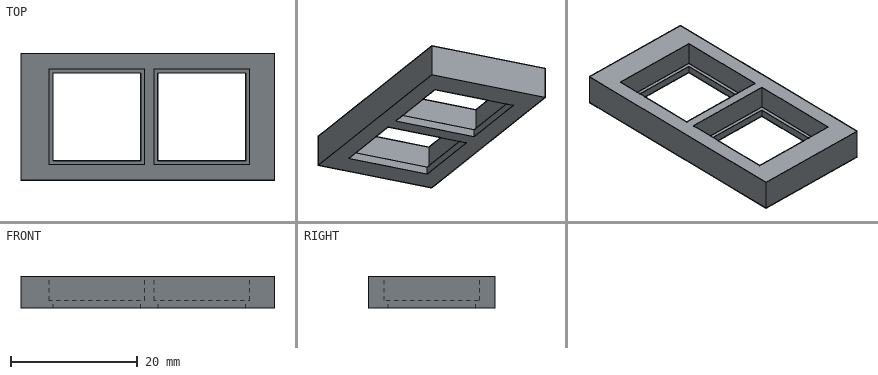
import cadquery as cq

length = 40.0
width = 20.0
height = 5.0

pocket_side = 15.0
ledge_width = 0.6
ledge_thickness = 1.2
divider = 1.5
right_margin = 4.0

opening_side = pocket_side - 2 * ledge_width
pocket_depth = height - ledge_thickness
right_center = length / 2 - right_margin - pocket_side / 2
left_center = right_center - pocket_side - divider
window_centers = [(left_center, 0), (right_center, 0)]

frame = cq.Workplane("XY").box(length, width, height, centered=(True, True, False))

top_plane = cq.Workplane("XY").workplane(offset=height).pushPoints(window_centers)
pockets = top_plane.rect(pocket_side, pocket_side).extrude(-pocket_depth)
openings = top_plane.rect(opening_side, opening_side).extrude(-height)

result = frame.cut(pockets).cut(openings)